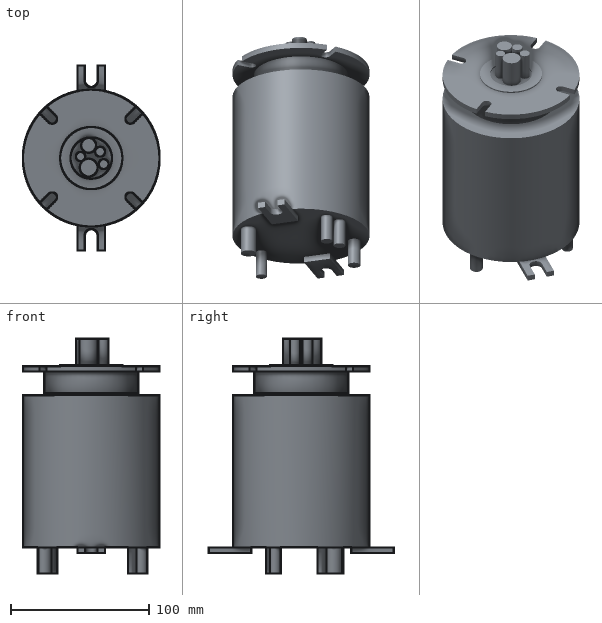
import cadquery as cq

body_diameter = 99.0
body_height = 110.0
neck_diameter = 54.0
neck_height = 1.5
hub_diameter = 68.2
hub_height = 15.5
flange_diameter = body_diameter
flange_thickness = 4.0
collar_diameter = 45.0
collar_height = 1.0
bore_diameter = 30.0
bore_depth = collar_height

flange_slot_count = 4
flange_slot_width = 7.0
flange_slot_end_radius = 40.0

foot_span = 134.0
foot_length = 31.0
foot_width = 20.0
foot_thickness = 4.2
foot_slot_width = 9.2
foot_slot_depth = 15.6

upper_cable_reach = 19.0
upper_cables = [
    (-1.9, -6.9, 12.9),
    (-1.9, 9.2, 10.8),
    (6.4, 4.6, 7.2),
    (9.0, -4.4, 7.2),
    (-7.7, 1.1, 6.8),
]

lower_cable_reach = 19.0
lower_cables = [
    (-33.5, -20.9, 9.2),
    (-28.7, 26.4, 8.4),
    (-34.8, 15.9, 8.4),
    (36.6, -18.7, 8.0),
    (32.0, 23.9, 11.0),
]

neck_base = body_height
hub_base = neck_base + neck_height
flange_base = hub_base + hub_height
collar_base = flange_base + flange_thickness
collar_top = collar_base + collar_height
bore_floor = collar_top - bore_depth


def cylinder(diameter, height, base, x=0.0, y=0.0):
    """Upright cylinder whose lower face is at the level base."""
    return cq.Workplane("XY", origin=(x, y, base)).circle(diameter / 2).extrude(height)


def open_slot(width, end_center, outer_end, thickness, base):
    """Slot cutter along +X: a round inner end and a straight run to outer_end."""
    radius = width / 2
    return (
        cq.Workplane("XY", origin=(0, 0, base))
        .moveTo(outer_end, -radius)
        .lineTo(end_center, -radius)
        .threePointArc((end_center - radius, 0), (end_center, radius))
        .lineTo(outer_end, radius)
        .close()
        .extrude(thickness)
    )


def turned_on_axis(shape, angle):
    return shape.rotate((0, 0, 0), (0, 0, 1), angle)


def make_flange():
    flange = cylinder(flange_diameter, flange_thickness, flange_base)
    slot = open_slot(
        flange_slot_width, flange_slot_end_radius, flange_diameter, flange_thickness, flange_base
    )
    spacing = 360 / flange_slot_count
    for index in range(flange_slot_count):
        flange = flange.cut(turned_on_axis(slot, (index + 0.5) * spacing))
    return flange


def make_foot():
    """Foot pointing along +X, its upper face on the underside of the body."""
    tip = foot_span / 2
    plate = cq.Workplane("XY", origin=(tip - foot_length / 2, 0, -foot_thickness))
    plate = plate.rect(foot_length, foot_width).extrude(foot_thickness)
    slot_end_center = tip - foot_slot_depth + foot_slot_width / 2
    slot = open_slot(foot_slot_width, slot_end_center, foot_span, foot_thickness, -foot_thickness)
    return plate.cut(slot)


def make_housing():
    housing = cylinder(body_diameter, body_height, 0)
    housing = housing.union(cylinder(neck_diameter, neck_height, neck_base))
    housing = housing.union(cylinder(hub_diameter, hub_height, hub_base))
    housing = housing.union(make_flange())
    housing = housing.union(cylinder(collar_diameter, collar_height, collar_base))
    return housing.cut(cylinder(bore_diameter, bore_depth, bore_floor))


result = make_housing()

for foot_angle in (90, 270):
    result = result.union(turned_on_axis(make_foot(), foot_angle))

for x, y, diameter in upper_cables:
    length = upper_cable_reach + bore_depth
    result = result.union(cylinder(diameter, length, bore_floor, x, y))

for x, y, diameter in lower_cables:
    result = result.union(cylinder(diameter, lower_cable_reach, -lower_cable_reach, x, y))